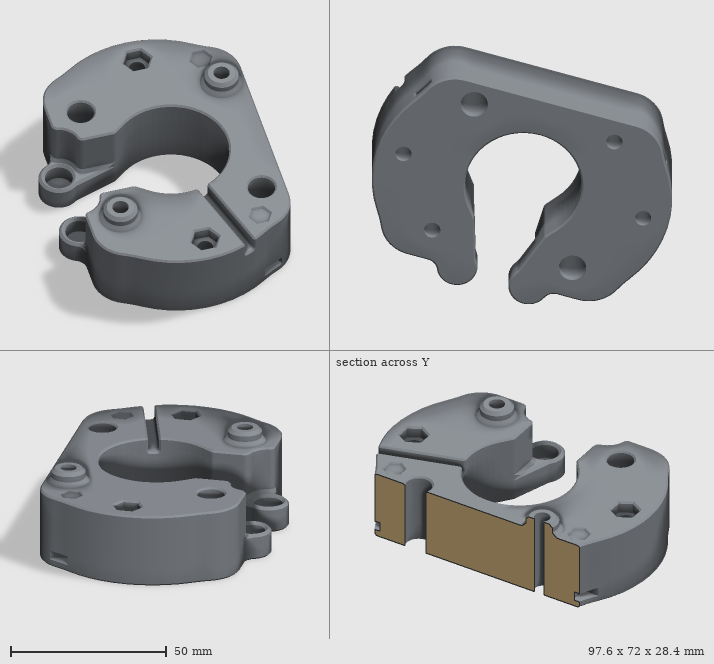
import cadquery as cq
import math

BODY_HEIGHT = 24.0
BODY_BACK_Y = 31.4
BODY_FRONT_Y = -34.3
HALF_LENGTH = 48.8
CORNER_X = 28.7
CORNER_RADIUS = 12.0
SIDE_RADIUS = 37.0
BLEND_RADIUS = 40.0
BORE_RADIUS = 18.8
EDGE_CHAMFER = 0.6

THROAT_CORNER = (11.7, -15.5)
THROAT_ROUND = 2.0
WEB_ANGLE = 18.0
EAR_CENTRE = (12.0, -34.1)
EAR_RADIUS = 6.5
EAR_HEIGHT = 8.5
EAR_CHAMFER = 0.9
EAR_BLEND_RADIUS = 4.0
FLARE_WIDTH = 0.9
FLARE_HEIGHT = 1.3
EAR_HOLE_DIAMETER = 9.0
EAR_HOLE_DEPTH = 5.9
SCOOP_ROUND = 2.0

BOLT_OFFSET = 23.5
BOSS_HEIGHT = 4.4
BOSS_DIAMETER = 11.0
BOSS_TOP_DIAMETER = 8.8
BOSS_TOP_CHAMFER = (BOSS_DIAMETER - BOSS_TOP_DIAMETER) / 2
BOSS_BASE_FLARE = 1.5
BOSS_HOLE_DIAMETER = 5.3
BOLT_HOLE_DIAMETER = 8.8

NUT_X = 40.2
NUT_FLATS = 8.0
NUT_DEPTH = 4.0
NUT_HOLE_DIAMETER = 5.2
RECESS_CENTRE = (35.1, 19.8)
RECESS_FLATS = 5.8

SIDE_SLOT_X = 36.6
SIDE_SLOT_Y = 19.4
SIDE_SLOT_WIDTH = 6.6
SIDE_SLOT_BEVEL = 1.0
SIDE_SLOT_FLOOR = 2.3
SIDE_SLOT_HEIGHT = 3.0

GROOVE_ANGLE = 16.5
GROOVE_WIDTH = 3.5
GROOVE_DEPTH = 4.9
GROOVE_OUTER_REACH = 46.8
GROOVE_FILLET = 0.8

OVERLAP = 1.0
HEX_SIDES = 6
BEVEL_ANGLE = 45.0
MID_Y = (BODY_BACK_Y + BODY_FRONT_Y) / 2


def toward(centre, target, distance):
    """Point at a distance from centre in the direction of target."""
    dx, dy = target[0] - centre[0], target[1] - centre[1]
    scale = distance / math.hypot(dx, dy)
    return (centre[0] + dx * scale, centre[1] + dy * scale)


def arc_middle(centre, start, end):
    """Middle of the shorter arc from start to end about centre."""
    middle = ((start[0] + end[0]) / 2, (start[1] + end[1]) / 2)
    return toward(centre, middle, math.dist(centre, start))


def polar(centre, radius, angle):
    """Point at a radius and an angle in radians about centre."""
    return (centre[0] + radius * math.cos(angle), centre[1] + radius * math.sin(angle))


def tangent_point(outside, centre, radius, turn):
    """Point where a line from an outside point touches a circle; turn (+1 or -1) picks the side."""
    bearing = math.atan2(outside[1] - centre[1], outside[0] - centre[0])
    swing = math.acos(radius / math.dist(outside, centre))
    return polar(centre, radius, bearing + turn * swing)


def rounded_corner(before, corner, after, radius):
    """Steps that round a corner between two straight lines."""
    first = math.atan2(before[1] - corner[1], before[0] - corner[0])
    second = math.atan2(after[1] - corner[1], after[0] - corner[0])
    half_angle = abs(math.remainder(second - first, 2 * math.pi)) / 2
    setback = radius / math.tan(half_angle)
    start = toward(corner, before, setback)
    end = toward(corner, after, setback)
    middle_of_chord = ((start[0] + end[0]) / 2, (start[1] + end[1]) / 2)
    centre = toward(corner, middle_of_chord, radius / math.sin(half_angle))
    return [(None, start), (arc_middle(centre, start, end), end)]


def flip(point):
    """Mirror a point about the body's middle line parallel to X."""
    return (point[0], 2 * MID_Y - point[1])


def outer_steps():
    """Steps (via point or None, end point) along the right side, from the back corner to the front."""
    corner = (CORNER_X, BODY_BACK_Y - CORNER_RADIUS)
    side = (HALF_LENGTH - SIDE_RADIUS, MID_Y)
    corner_reach = CORNER_RADIUS + BLEND_RADIUS
    side_reach = SIDE_RADIUS + BLEND_RADIUS
    gap = math.dist(corner, side)
    swing = math.acos((gap**2 + corner_reach**2 - side_reach**2) / (2 * gap * corner_reach))
    bearing = math.atan2(side[1] - corner[1], side[0] - corner[0])
    blend = polar(corner, corner_reach, bearing + swing)

    corner_start = (CORNER_X, BODY_BACK_Y)
    corner_end = toward(corner, blend, CORNER_RADIUS)
    side_start = toward(side, blend, SIDE_RADIUS)
    corner_middle = arc_middle(corner, corner_start, corner_end)
    blend_middle = arc_middle(blend, corner_end, side_start)
    return [
        (None, corner_start),
        (corner_middle, corner_end),
        (blend_middle, side_start),
        ((HALF_LENGTH, MID_Y), flip(side_start)),
        (flip(blend_middle), flip(corner_end)),
        (flip(corner_middle), flip(corner_start)),
    ]


def mirrored(point):
    """Mirror a point about the Y axis."""
    return None if point is None else (-point[0], point[1])


def symmetric_outline(front_steps):
    """Closed outline: right side, given front steps, bore, then the same steps mirrored in reverse."""
    bore_start = tangent_point(THROAT_CORNER, (0, 0), BORE_RADIUS, 1)
    right = outer_steps() + front_steps
    right += rounded_corner(right[-1][1], THROAT_CORNER, bore_start, THROAT_ROUND)
    right.append((None, bore_start))
    left = [((0, BORE_RADIUS), mirrored(bore_start))]
    for (via, _), (_, previous_end) in zip(right[:0:-1], right[-2::-1]):
        left.append((mirrored(via), mirrored(previous_end)))

    outline = cq.Workplane("XY").moveTo(*right[0][1])
    for via, end in right[1:] + left:
        outline = outline.threePointArc(via, end) if via else outline.lineTo(*end)
    return outline.close()


def body_outline():
    """Outline above the ears, scooped out around each ear."""
    reach = EAR_RADIUS + SCOOP_ROUND
    front_y = BODY_FRONT_Y + SCOOP_ROUND
    front_round = (EAR_CENTRE[0] + math.sqrt(reach**2 - (front_y - EAR_CENTRE[1]) ** 2), front_y)
    throat_x = THROAT_CORNER[0] + SCOOP_ROUND
    throat_round = (throat_x, EAR_CENTRE[1] + math.sqrt(reach**2 - (throat_x - EAR_CENTRE[0]) ** 2))

    front_start = (front_round[0], BODY_FRONT_Y)
    front_end = toward(EAR_CENTRE, front_round, EAR_RADIUS)
    throat_start = toward(EAR_CENTRE, throat_round, EAR_RADIUS)
    throat_end = (THROAT_CORNER[0], throat_round[1])
    return symmetric_outline([
        (None, front_start),
        (arc_middle(front_round, front_start, front_end), front_end),
        (arc_middle(EAR_CENTRE, front_end, throat_start), throat_start),
        (arc_middle(throat_round, throat_start, throat_end), throat_end),
    ])


def base_outline():
    """Outline of the lower layer, including the ears and their webs."""
    reach = EAR_RADIUS + EAR_BLEND_RADIUS
    root_y = BODY_FRONT_Y - EAR_BLEND_RADIUS
    root = (EAR_CENTRE[0] + math.sqrt(reach**2 - (root_y - EAR_CENTRE[1]) ** 2), root_y)
    root_start = (root[0], BODY_FRONT_Y)
    root_end = toward(EAR_CENTRE, root, EAR_RADIUS)
    ear_tip = (EAR_CENTRE[0], EAR_CENTRE[1] - EAR_RADIUS)

    edge_angle = math.radians(WEB_ANGLE)
    normal_angle = math.pi - edge_angle
    to_ear_x = EAR_CENTRE[0] - THROAT_CORNER[0]
    to_ear_y = EAR_CENTRE[1] - THROAT_CORNER[1]
    ear_offset = to_ear_x * math.cos(normal_angle) + to_ear_y * math.sin(normal_angle)
    swing = math.acos((EAR_BLEND_RADIUS - ear_offset) / reach)
    web = polar(EAR_CENTRE, reach, normal_angle - swing)
    ear_end = toward(EAR_CENTRE, web, EAR_RADIUS)
    web_end = polar(web, EAR_BLEND_RADIUS, normal_angle + math.pi)
    return symmetric_outline([
        (None, root_start),
        (arc_middle(root, root_start, root_end), root_end),
        (ear_tip, ear_end),
        (arc_middle(web, ear_end, web_end), web_end),
    ])


def groove_cutter():
    """Bar that cuts the groove from bore to outside, rounded along its floor edges."""
    return (
        cq.Workplane("XY")
        .box(HALF_LENGTH, GROOVE_WIDTH, 2 * GROOVE_DEPTH, centered=(False, True, True))
        .edges("|X and <Z")
        .fillet(GROOVE_FILLET)
        .translate((BORE_RADIUS / 2, 0, BODY_HEIGHT))
        .rotate((0, 0, 0), (0, 0, 1), GROOVE_ANGLE)
    )


def upper_body():
    """Layer reaching the top face, with its groove; the top rim and both groove mouths are chamfered."""
    start_z = EAR_HEIGHT / 2
    body = body_outline().extrude(BODY_HEIGHT - start_z).translate((0, 0, start_z))
    body = body.cut(groove_cutter())
    angle = math.radians(GROOVE_ANGLE)
    rim = body.faces(">Z").edges()
    for radius in (BORE_RADIUS, GROOVE_OUTER_REACH):
        x, y = polar((0, 0), radius, angle)
        low = (x - GROOVE_WIDTH, y - GROOVE_WIDTH, BODY_HEIGHT - GROOVE_DEPTH - OVERLAP)
        high = (x + GROOVE_WIDTH, y + GROOVE_WIDTH, BODY_HEIGHT - EDGE_CHAMFER)
        rim = rim.add(body.edges(cq.selectors.BoxSelector(low, high)))
    return rim.chamfer(EDGE_CHAMFER)


def base():
    """Lower layer from the bottom face to the ear tops, flared where the ears meet the body."""
    layer = base_outline().extrude(EAR_HEIGHT)
    layer = layer.faces("<Z").edges().chamfer(EDGE_CHAMFER)
    layer = layer.faces(">Z").edges().chamfer(EAR_CHAMFER)
    flare_taper = math.degrees(math.atan2(FLARE_WIDTH, FLARE_HEIGHT))
    flare = body_outline().offset2D(FLARE_WIDTH).extrude(FLARE_HEIGHT, taper=flare_taper)
    flare = flare.translate((0, 0, EAR_HEIGHT))
    return layer.union(flare.intersect(base_outline().extrude(BODY_HEIGHT)))


def countersunk_hole(diameter, chamfer, top_z, depth):
    """Round hole going down from top_z with a 45 degree countersunk rim."""
    radius = diameter / 2
    return (
        cq.Workplane("XZ")
        .moveTo(0, top_z)
        .lineTo(radius + chamfer, top_z)
        .lineTo(radius, top_z - chamfer)
        .lineTo(radius, top_z - depth)
        .lineTo(0, top_z - depth)
        .close()
        .revolve(360, (0, 0, 0), (0, 1, 0))
    )


def hexagon(flats):
    """Hexagon with two corners on the Y axis, sized across its flats."""
    corner_circle = flats / math.cos(math.pi / HEX_SIDES)
    return cq.Workplane("XY").transformed(rotate=(0, 0, 90)).polygon(HEX_SIDES, corner_circle)


def hex_rim(flats):
    """Tapered hexagonal mouth, one chamfer deep, open at the top face."""
    mouth = hexagon(flats + 2 * EDGE_CHAMFER).extrude(-EDGE_CHAMFER, taper=BEVEL_ANGLE)
    return mouth.translate((0, 0, BODY_HEIGHT))


def boss():
    """Solid boss on the Z axis, flared at its base and chamfered at its top."""
    radius = BOSS_DIAMETER / 2
    top = BODY_HEIGHT + BOSS_HEIGHT
    return (
        cq.Workplane("XZ")
        .moveTo(0, BODY_HEIGHT - OVERLAP)
        .lineTo(radius + BOSS_BASE_FLARE, BODY_HEIGHT - OVERLAP)
        .lineTo(radius + BOSS_BASE_FLARE, BODY_HEIGHT)
        .lineTo(radius, BODY_HEIGHT + BOSS_BASE_FLARE)
        .lineTo(radius, top - BOSS_TOP_CHAMFER)
        .lineTo(radius - BOSS_TOP_CHAMFER, top)
        .lineTo(0, top)
        .close()
        .revolve(360, (0, 0, 0), (0, 1, 0))
    )


def side_slot():
    """Rectangular slot into the +X side, with its innermost +Y corner bevelled."""
    return (
        cq.Workplane("XY", origin=(SIDE_SLOT_X, SIDE_SLOT_Y, SIDE_SLOT_FLOOR))
        .box(HALF_LENGTH - SIDE_SLOT_X, SIDE_SLOT_WIDTH, SIDE_SLOT_HEIGHT, centered=False)
        .edges("|Z and <X and >Y")
        .chamfer(SIDE_SLOT_BEVEL)
    )


result = base().union(upper_body())

boss_hole = cq.Workplane("XY").circle(BOSS_HOLE_DIAMETER / 2).extrude(BODY_HEIGHT + BOSS_HEIGHT)
bolt_hole = countersunk_hole(BOLT_HOLE_DIAMETER, EDGE_CHAMFER, BODY_HEIGHT, BODY_HEIGHT)
for side in (-1, 1):
    boss_place = (side * BOLT_OFFSET, -side * BOLT_OFFSET, 0)
    result = result.union(boss().translate(boss_place))
    result = result.cut(boss_hole.translate(boss_place))
    result = result.cut(bolt_hole.translate((side * BOLT_OFFSET, side * BOLT_OFFSET, 0)))

nut_pocket = (
    hexagon(NUT_FLATS)
    .extrude(NUT_DEPTH)
    .translate((0, 0, BODY_HEIGHT - NUT_DEPTH))
    .union(hex_rim(NUT_FLATS))
    .union(cq.Workplane("XY").circle(NUT_HOLE_DIAMETER / 2).extrude(BODY_HEIGHT))
)
ear_hole = countersunk_hole(EAR_HOLE_DIAMETER, EAR_CHAMFER, EAR_HEIGHT, EAR_HOLE_DEPTH)
for side in (-1, 1):
    result = result.cut(nut_pocket.translate((side * NUT_X, 0, 0)))
    recess_place = (side * RECESS_CENTRE[0], RECESS_CENTRE[1], 0)
    result = result.cut(hex_rim(RECESS_FLATS).translate(recess_place))
    result = result.cut(ear_hole.translate((side * EAR_CENTRE[0], EAR_CENTRE[1], 0)))

slot = side_slot()
result = result.cut(slot).cut(slot.mirror("YZ"))
result = cq.Workplane("XY").newObject([result.solids().val()])